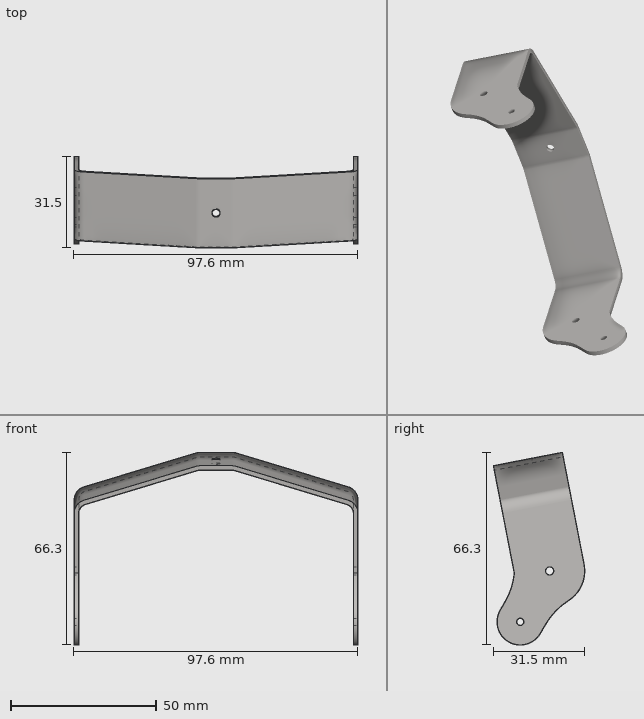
import cadquery as cq
import math


outer_span = 97.56
sheet = 1.6
strip_width = 24.2
inner_bend = 3.2
outer_bend = inner_bend + sheet

crown_height = 39.2
crown_flat = 10.9
roof_slope = math.radians(17.14)
strip_tilt = 11.0

knuckle_radius = strip_width / 2
foot_radius = 8.0
foot_distance = 20.2
foot_angle = 30.0
neck_radius = 24.0

knuckle_hole = 2.71
foot_hole = 2.38
crown_hole = 2.71

half_span = outer_span / 2


def roof_prism(inset, bend_radius):
    """Solid under the bent strip's outside, moved inward by inset, with rounded bends."""
    apex_x = crown_flat / 2 + (outer_bend - inset) * math.tan(roof_slope / 2)
    top_z = crown_height - inset
    wall_x = half_span - inset
    shoulder_z = top_z - (wall_x - apex_x) * math.tan(roof_slope)
    outline = [
        (-wall_x, 0),
        (-wall_x, shoulder_z),
        (-apex_x, top_z),
        (apex_x, top_z),
        (wall_x, shoulder_z),
        (wall_x, 0),
    ]
    prism = cq.Workplane("XZ").polyline(outline).close().extrude(strip_width / 2, both=True)
    return prism.edges("|Y and (not <Z)").fillet(bend_radius)


def bent_strip():
    """Crown, sloping roofs and straight leg walls, with the crown hole."""
    strip = roof_prism(0, outer_bend).cut(roof_prism(sheet, inner_bend))
    hole = cq.Workplane("XY").circle(crown_hole / 2).extrude(crown_height)
    return strip.cut(hole).rotate((0, 0, 0), (1, 0, 0), strip_tilt)


def leg_disc(radius, drop):
    """Full-span cylinder along X, centred a distance drop below the origin."""
    return cq.Workplane("YZ").center(0, -drop).circle(radius).extrude(half_span, both=True)


def neck():
    """Full-span web whose concave sides are tangent to the knuckle and to the foot."""
    side = foot_radius + neck_radius
    blend_drop = math.sqrt((knuckle_radius + neck_radius) ** 2 - side ** 2)
    knuckle_share = knuckle_radius / (knuckle_radius + neck_radius)
    start_y = side * knuckle_share
    start_z = -blend_drop * knuckle_share
    half_turn = math.atan2(blend_drop, side) / 2
    mid_y = side - neck_radius * math.cos(half_turn)
    mid_z = -blend_drop + neck_radius * math.sin(half_turn)
    return (
        cq.Workplane("YZ")
        .moveTo(-start_y, start_z)
        .threePointArc((-mid_y, mid_z), (-foot_radius, -blend_drop))
        .lineTo(-foot_radius, -foot_distance)
        .lineTo(foot_radius, -foot_distance)
        .lineTo(foot_radius, -blend_drop)
        .threePointArc((mid_y, mid_z), (start_y, start_z))
        .close()
        .extrude(half_span, both=True)
    )


def lower_legs():
    """Knuckle, neck and foot of both legs, kept only within the two sheets."""
    legs = leg_disc(knuckle_radius, 0).union(neck()).union(leg_disc(foot_radius, foot_distance))
    reach = 2 * (foot_distance + foot_radius + knuckle_radius)
    gap = cq.Workplane("XY").box(outer_span - 2 * sheet, reach, reach)
    return legs.cut(gap).rotate((0, 0, 0), (1, 0, 0), -foot_angle)


def leg_holes():
    """Drills through both legs at the knuckle and at the foot."""
    drills = leg_disc(knuckle_hole / 2, 0).union(leg_disc(foot_hole / 2, foot_distance))
    return drills.rotate((0, 0, 0), (1, 0, 0), -foot_angle)


result = bent_strip().union(lower_legs()).cut(leg_holes()).solids()